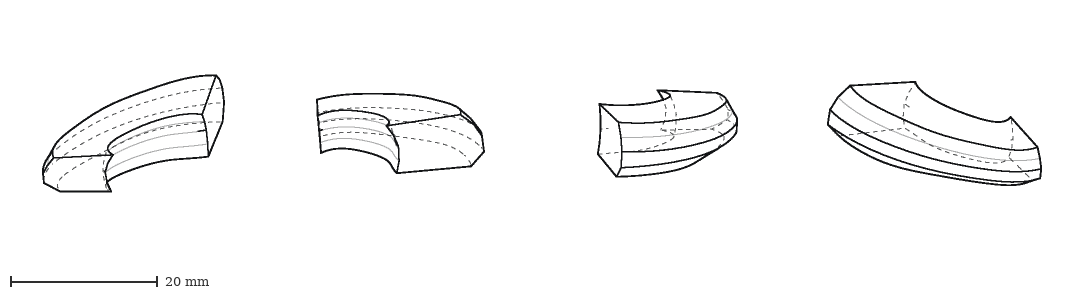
import cadquery as cq


BOTTOM_HEIGHT = -0.227
BOTTOM_RISE = 0.125
TOP_HEIGHT = 4.9
TOP_RISE = 0.215

END_LEAN = 0.12
NEAR_END_OFFSET = 6.05
FAR_END_OFFSET = 36.35

OUTER_STATIONS = (3.33, 7.27, 13.32, 19.38, 25.45)

INNER_NEAR_X = 13.6
INNER_FAR_X = 14.53
INNER_POINTS = ((11.08, 7.7), (10.2, 11.65), (10.63, 15.17), (11.55, 17.62), (12.72, 19.38))

LEVELS = (
    (0.0, 0.58, (7.93, 5.25, 3.42, 2.27, 1.82, 3.95, 6.75)),
    (0.25, 0.9, (6.42, 3.05, 1.45, 0.3, 0.58, 2.45, 5.35)),
    (0.54, 0.97, (6.42, 3.0, 1.25, 0.03, 0.35, 2.18, 5.42)),
    (0.78, 0.6, (6.95, 3.88, 1.95, 0.97, 1.4, 3.45, 6.12)),
    (1.0, 0.0, (7.65, 4.7, 3.15, 2.1, 2.95, 5.15, 7.33)),
)


def level_rims(fraction, hollow, outer_x):
    """Outer and inner rim points on the sloping plane at a fraction of the way up, from -Y to +Y."""
    height = BOTTOM_HEIGHT + fraction * (TOP_HEIGHT - BOTTOM_HEIGHT)
    rise = BOTTOM_RISE + fraction * (TOP_RISE - BOTTOM_RISE)

    def on_level(x, y):
        return cq.Vector(x, y, height + rise * y)

    def rim(near_x, middle, far_x):
        near_y = (near_x - NEAR_END_OFFSET - END_LEAN * height) / (1 + END_LEAN * rise)
        far_y = (FAR_END_OFFSET - far_x - END_LEAN * height) / (1 + END_LEAN * rise)
        return [on_level(x, y) for x, y in ((near_x, near_y), *middle, (far_x, far_y))]

    outer = rim(outer_x[0], zip(outer_x[1:-1], OUTER_STATIONS), outer_x[-1])
    inner_middle = [(x - hollow, y) for x, y in INNER_POINTS]
    inner = rim(INNER_NEAR_X - hollow, inner_middle, INNER_FAR_X - hollow)
    return outer, inner


rims = [level_rims(*level) for level in LEVELS]
outer_curves = [cq.Edge.makeSpline(outer) for outer, inner in rims]
inner_curves = [cq.Edge.makeSpline(inner) for outer, inner in rims]


def strips(curves):
    """Ruled faces joining each rim curve to the next one up."""
    return [cq.Face.makeRuledSurface(low, high) for low, high in zip(curves, curves[1:])]


def flat_face(level):
    """Flat face that fills the outline of one level."""
    outer, inner = rims[level]
    edges = [
        outer_curves[level],
        cq.Edge.makeLine(outer[-1], inner[-1]),
        inner_curves[level],
        cq.Edge.makeLine(inner[0], outer[0]),
    ]
    return cq.Face.makeFromWires(cq.Wire.assembleEdges(edges))


def end_face(end):
    """Flat face through the rim points at one end: 0 for -Y, -1 for +Y."""
    outer_corners = [outer[end] for outer, inner in rims]
    inner_corners = [inner[end] for outer, inner in rims]
    corners = outer_corners + inner_corners[::-1]
    return cq.Face.makeFromWires(cq.Wire.makePolygon(corners, close=True))


faces = strips(outer_curves) + strips(inner_curves)
faces += [flat_face(0), flat_face(-1), end_face(0), end_face(-1)]
result = cq.Workplane(obj=cq.Solid.makeSolid(cq.Shell.makeShell(faces)))